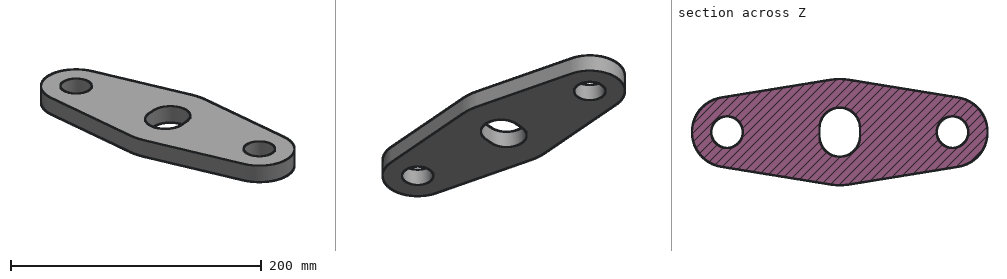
import cadquery as cq
import math

length = 235.8
width = 85.0
thickness = 15.0

end_radius = 28.0
crown_radius = width / 2

hole_diameter = 25.0
slot_width = 32.0
slot_length = 39.0

end_center_x = length / 2 - end_radius

edge_angle = math.asin((crown_radius - end_radius) / end_center_x)
crown_x = crown_radius * math.sin(edge_angle)
crown_y = crown_radius * math.cos(edge_angle)
end_x = end_center_x + end_radius * math.sin(edge_angle)
end_y = end_radius * math.cos(edge_angle)


def make_plate():
    """Lozenge plate with rounded ends and a rounded crown on each long side."""
    return (
        cq.Workplane("XY")
        .moveTo(-crown_x, crown_y)
        .threePointArc((0, crown_radius), (crown_x, crown_y))
        .lineTo(end_x, end_y)
        .threePointArc((length / 2, 0), (end_x, -end_y))
        .lineTo(crown_x, -crown_y)
        .threePointArc((0, -crown_radius), (-crown_x, -crown_y))
        .lineTo(-end_x, -end_y)
        .threePointArc((-length / 2, 0), (-end_x, end_y))
        .close()
        .extrude(thickness)
    )


def make_openings():
    """Cutters for the two end holes and the central slot along Y."""
    holes = (
        cq.Workplane("XY")
        .pushPoints([(-end_center_x, 0), (end_center_x, 0)])
        .circle(hole_diameter / 2)
        .extrude(thickness)
    )
    slot = cq.Workplane("XY").slot2D(slot_length, slot_width, 90).extrude(thickness)
    return holes.union(slot)


result = make_plate().cut(make_openings())